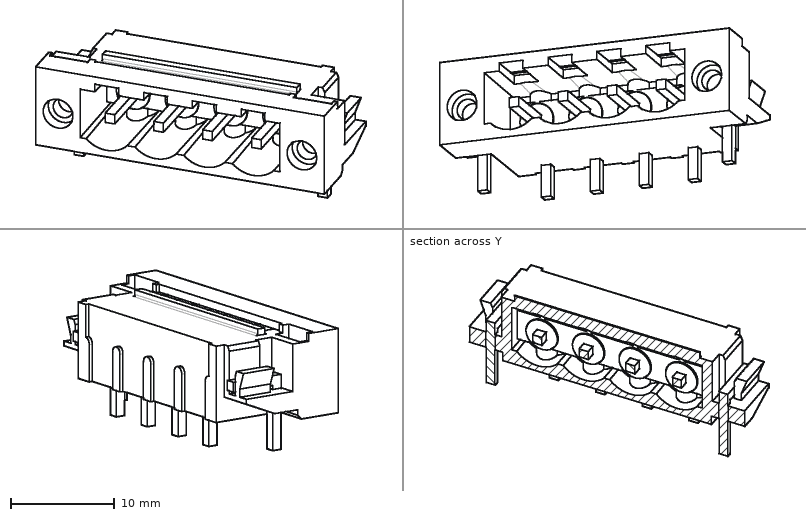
import cadquery as cq


width = 30.05
depth = 12.0
height = 8.4
body_height = 7.62
flange_depth = 3.52
core_half_width = 11.4
wing_rear = 11.02
stepped_half_width = 10.12

contact_count = 4
anchor_spacing = 25.4
pitch = anchor_spacing / (contact_count + 1)
pin_size = 1.0
pin_bottom = -3.22
pin_axis_z = 3.75
contact_tip_y = 0.85
contact_leg_y = 10.0
anchor_leg_y = 6.02
anchor_rear = 11.23
anchor_x = anchor_spacing / 2
contact_xs = [pitch * (i - (contact_count - 1) / 2) for i in range(contact_count)]
divider_xs = [pitch * (i - contact_count / 2) for i in range(contact_count + 1)]

cavity_half_width = 10.4
cavity_top = 6.8
cavity_bottom = 1.6
cavity_depth = 8.13
cavity_draft = 0.12
trough_radius = 3.05
keyway_width = 2.47
keyway_rear = 4.2
post_radius = 1.05
band_bottom = 2.25
band_top = 5.7
band_thickness = 1.02
boss_radius = 1.72
boss_thickness = 1.2

screw_head_radius = 1.55
screw_head_depth = 1.35
screw_radius = 1.02
nut_slot_width = 3.95
nut_slot_front = 2.8
nut_slot_rear = 4.37
nut_slot_floor = pin_axis_z - nut_slot_width / 2

step_front = 3.2
ridge_front = 5.25
ridge_rear = 6.08
ridge_top = 8.25
ridge_flare = 0.18
recess_depth = 0.35
divider_width = 1.2

wing_underside = 1.0
wing_slope_front = 7.62
wing_tail_bottom = 2.4
foot_rear = 4.88
foot_chamfer = 0.45
shelf_top = 2.9
pocket_front = 5.45
pocket_inner_x = 11.55
clip_front = 7.35
clip_lead_in = 0.48
wall_lead_in = 0.25
rail_lead_in = 0.2
rail_top = 5.35
rail_outer_x = 14.55
rail_foot_x = 13.95
rail_foot_top = 3.7
nub_size = 0.05


def block(x0, x1, y0, y1, z0, z1):
    """Box between the given limits along each axis."""
    return cq.Workplane("XY").box(x1 - x0, y1 - y0, z1 - z0, centered=False).translate((x0, y0, z0))


def side_prism(points, x0, x1):
    """Outline of (y, z) points extended along X."""
    return cq.Workplane("YZ").polyline(points).close().extrude(x1 - x0).translate((x0, 0, 0))


def front_prism(points, y0, y1):
    """Outline of (x, z) points extended along Y."""
    return cq.Workplane("XZ").polyline(points).close().extrude(y0 - y1).translate((0, y0, 0))


def rod(x, z, radius, y0, y1):
    """Cylinder along Y."""
    return cq.Workplane("XZ").center(x, z).circle(radius).extrude(y0 - y1).translate((0, y0, 0))


def both_sides(shape):
    """The shape together with its mirror image across X = 0."""
    return shape.union(shape.mirror("YZ"))


def make_pin(x, y_front, y_rear, leg_y):
    """Square-wire pin along Y with a leg that goes down to the board."""
    half = pin_size / 2
    bar = block(x - half, x + half, y_front, y_rear, pin_axis_z - half, pin_axis_z + half)
    leg = block(x - half, x + half, leg_y - half, leg_y + half, pin_bottom, pin_axis_z)
    return bar.union(leg)


def make_contact(x):
    return make_pin(x, contact_tip_y, contact_leg_y + pin_size / 2, contact_leg_y)


def make_anchor(x):
    return make_pin(x, anchor_leg_y - pin_size / 2, anchor_rear, anchor_leg_y)


def make_shell():
    """Solid core with the tall flange in front and a wing at each end."""
    core = block(-core_half_width, core_half_width, 0, depth, 0, body_height)
    flange = block(-width / 2, width / 2, 0, flange_depth, 0, height)
    wing_outline = [
        (0, 0),
        (foot_rear - foot_chamfer, 0),
        (foot_rear, foot_chamfer),
        (foot_rear, wing_underside),
        (wing_slope_front, wing_underside),
        (wing_rear, wing_tail_bottom),
        (wing_rear, body_height),
        (0, body_height),
    ]
    wings = both_sides(side_prism(wing_outline, core_half_width, width / 2))
    step = block(-stepped_half_width, stepped_half_width, step_front, flange_depth, body_height, height)
    return core.union(flange).union(wings).cut(step)


def make_anchor_pockets():
    """Pockets open to the top, the rear and the ends, above the wing shelves."""
    return both_sides(block(pocket_inner_x, width / 2, pocket_front, wing_rear, shelf_top, body_height))


def make_clips():
    """Wall and hooked rail that hold the bar of an anchor between them."""
    wall_face = anchor_x - pin_size / 2
    rail_face = anchor_x + pin_size / 2
    wall_outline = [
        (core_half_width, shelf_top),
        (wall_face, shelf_top),
        (wall_face, body_height - clip_lead_in),
        (wall_face - wall_lead_in, body_height),
        (core_half_width, body_height),
    ]
    rail_outline = [
        (rail_face, shelf_top),
        (rail_foot_x, shelf_top),
        (rail_foot_x, rail_foot_top),
        (rail_outer_x, rail_top),
        (rail_face + rail_lead_in, rail_top),
        (rail_face, rail_top - clip_lead_in),
    ]
    wall = front_prism(wall_outline, clip_front, wing_rear)
    rail = front_prism(rail_outline, clip_front, wing_rear)
    return both_sides(wall).union(both_sides(rail))


def make_shelf_nub():
    """Small nub on the rear corner of the +X shelf."""
    edge = width / 2
    return block(edge, edge + nub_size, wing_rear - nub_size, wing_rear, wing_tail_bottom, shelf_top)


def make_cavity():
    """Plug cavity: drafted slot with a round trough and a keyway at each contact."""
    slot_outline = [
        (0, cavity_bottom),
        (cavity_depth, cavity_bottom + cavity_draft),
        (cavity_depth, cavity_top - cavity_draft),
        (0, cavity_top),
    ]
    cavity = side_prism(slot_outline, -cavity_half_width, cavity_half_width)
    envelope = block(-cavity_half_width, cavity_half_width, 0, cavity_depth, 0, body_height)
    half_key = keyway_width / 2
    for x in contact_xs:
        trough = rod(x, pin_axis_z, trough_radius, 0, cavity_depth)
        keyway = block(x - half_key, x + half_key, 0, keyway_rear, pin_axis_z, body_height)
        cavity = cavity.union(trough).union(keyway)
    return cavity.intersect(envelope)


def make_cavity_back():
    """Raised band on the back wall with an upright post and a round boss at each contact."""
    band_front = cavity_depth - band_thickness
    back = block(
        -cavity_half_width, cavity_half_width, band_front, cavity_depth, band_bottom, band_top
    )
    for x in contact_xs:
        post = cq.Workplane("XY").center(x, cavity_depth).circle(post_radius).extrude(cavity_top)
        boss = rod(x, pin_axis_z, boss_radius, cavity_depth - boss_thickness, cavity_depth)
        back = back.union(post).union(boss)
    return back


def make_screw_holes():
    """Stepped screw holes, each ending in a nut slot open to the top."""
    head = rod(anchor_x, pin_axis_z, screw_head_radius, 0, screw_head_depth)
    shank = rod(anchor_x, pin_axis_z, screw_radius, 0, nut_slot_front)
    half_slot = nut_slot_width / 2
    nut_slot = block(
        anchor_x - half_slot, anchor_x + half_slot, nut_slot_front, nut_slot_rear, nut_slot_floor, height
    )
    return both_sides(head.union(shank).union(nut_slot))


def make_ridge():
    """Key ridge along the top, with concave flares at its base."""
    outline = (
        cq.Workplane("YZ")
        .moveTo(ridge_front - ridge_flare, body_height)
        .radiusArc((ridge_front, body_height + ridge_flare), -ridge_flare)
        .lineTo(ridge_front, ridge_top)
        .lineTo(ridge_rear, ridge_top)
        .lineTo(ridge_rear, body_height + ridge_flare)
        .radiusArc((ridge_rear + ridge_flare, body_height), -ridge_flare)
        .close()
    )
    return outline.extrude(2 * stepped_half_width).translate((-stepped_half_width, 0, 0))


def make_rear_recess():
    """Shallow rear recess that leaves round-topped dividers between the contacts."""
    recess_front = depth - recess_depth
    recess = block(-stepped_half_width, stepped_half_width, recess_front, depth, 0, body_height)
    half = divider_width / 2
    for x in divider_xs:
        stem = block(x - half, x + half, recess_front, depth, 0, pin_axis_z)
        recess = recess.cut(stem).cut(rod(x, pin_axis_z, half, recess_front, depth))
    return recess


def make_housing(pins):
    housing = make_shell().cut(make_anchor_pockets()).union(make_clips()).union(make_shelf_nub())
    cavity = make_cavity()
    housing = housing.cut(cavity).union(make_cavity_back().intersect(cavity))
    housing = housing.cut(make_screw_holes()).cut(make_rear_recess()).union(make_ridge())
    for pin in pins:
        housing = housing.cut(pin)
    return housing


contacts = [make_contact(x) for x in contact_xs]
anchors = [make_anchor(x) for x in (-anchor_x, anchor_x)]
housing = make_housing(contacts + anchors)

pin_solids = [pin.val() for pin in contacts + anchors]
result = cq.Compound.makeCompound([housing.solids().val(), *pin_solids])